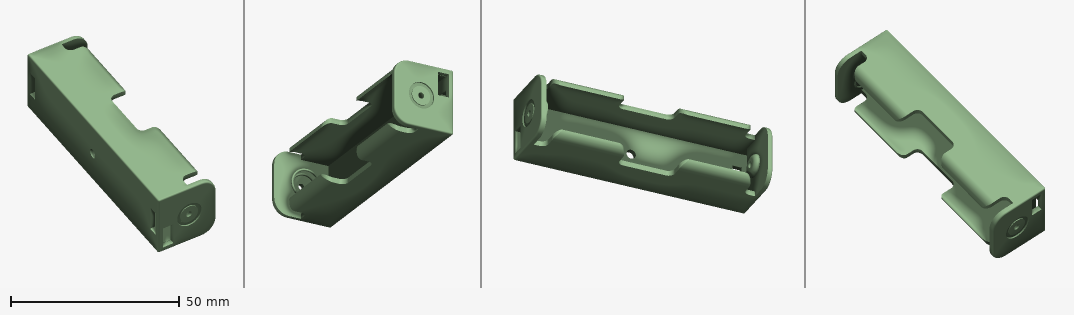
import cadquery as cq
import math

LENGTH = 75.9
DEPTH = 20.0
HEIGHT = 21.0
WALL = 1.7
CORNER_RADIUS = 5.0
EDGE_RADIUS = 0.5
MID_X = LENGTH / 2
MID_Z = HEIGHT / 2

SHOULDER_Y = 11.0
LIP_OUTER_RADIUS = 2.95
LIP_INNER_RADIUS = 4.0
LIP_CENTER_Y = DEPTH - CORNER_RADIUS
TAB_TIP_Y = LIP_CENTER_Y + LIP_OUTER_RADIUS
TAB_WIDTH = 23.4
TAB_OFFSET = 5.55
TAB_TIP_RADIUS = 2.5
TAB_ROOT_RADIUS = 2.0

MOUNT_HOLE_DIAMETER = 3.0
BACK_WINDOW_WIDTH = 3.0
BACK_WINDOW_HEIGHT = 8.5
END_WINDOW_WIDTH = 3.7
END_WINDOW_HEIGHT = 7.6
END_WINDOW_Y = 1.6
END_WINDOW_MARGIN = 1.6

AXIS_Y = 10.85
RECESS_DIAMETER = 8.5
RECESS_DEPTH = 0.5
RIVET_HEAD_DIAMETER = 6.15
RIVET_HEAD_THICKNESS = 0.295
RIVET_SHANK_DIAMETER = 4.0
RIVET_BORE_DIAMETER = 2.0

BUTTON_HEIGHT = 1.6
BUTTON_FACE_RADIUS = RIVET_SHANK_DIAMETER / 2

WIRE_DIAMETER = 0.7
WALL_CLEARANCE = 0.015
COIL_PITCH = 2.35
FLAT_TURNS = 0.4
SPIRAL_TURNS = 0.7
TOTAL_TURNS = 1.75
BASE_COIL_RADIUS = 2.6
COIL_RADIUS = 4.3
POINTS_PER_TURN = 16


def block(x0, x1, y0, y1, z0, z1):
    return cq.Workplane("XY").box(x1 - x0, y1 - y0, z1 - z0, centered=False).translate((x0, y0, z0))


def axis_cylinder(diameter, x0, x1):
    """Cylinder along the battery axis between two X positions."""
    return (
        cq.Workplane("YZ", origin=(x0, AXIS_Y, MID_Z))
        .circle(diameter / 2)
        .extrude(x1 - x0)
    )


def rounded_tray(x0, x1, inset, open_y, radius):
    """Box between two X positions whose two long edges at the open side are rounded."""
    tray = block(x0, x1, inset, open_y, inset, HEIGHT - inset)
    return tray.edges("|X and >Y").fillet(radius)


def make_shell():
    """Open tray with full end walls and lower side walls whose lips curl inwards."""
    shell = rounded_tray(0, LENGTH, 0, DEPTH, CORNER_RADIUS)
    shell = shell.faces("<X or >X or <Y").edges().fillet(EDGE_RADIUS)
    inner_end = LENGTH - WALL
    mouth = block(WALL, inner_end, SHOULDER_Y, DEPTH, 0, HEIGHT)
    lips = rounded_tray(WALL, inner_end, 0, TAB_TIP_Y, LIP_OUTER_RADIUS).intersect(mouth)
    cavity_y = LIP_CENTER_Y + LIP_INNER_RADIUS
    cavity = rounded_tray(WALL, inner_end, WALL, cavity_y, LIP_INNER_RADIUS)
    return shell.cut(mouth).union(lips).cut(cavity)


def make_tab(x0):
    """Full-height prism over one tab, with rounded tips and flared roots."""
    x1 = x0 + TAB_WIDTH
    tip = TAB_TIP_RADIUS
    root = TAB_ROOT_RADIUS
    return (
        cq.Workplane("XY")
        .moveTo(x0 - root, SHOULDER_Y)
        .radiusArc((x0, SHOULDER_Y + root), -root)
        .lineTo(x0, TAB_TIP_Y - tip)
        .radiusArc((x0 + tip, TAB_TIP_Y), tip)
        .lineTo(x1 - tip, TAB_TIP_Y)
        .radiusArc((x1, TAB_TIP_Y - tip), tip)
        .lineTo(x1, SHOULDER_Y + root)
        .radiusArc((x1 + root, SHOULDER_Y), -root)
        .close()
        .extrude(HEIGHT)
    )


def make_notches():
    notches = block(WALL, LENGTH - WALL, SHOULDER_Y, DEPTH, 0, HEIGHT)
    for x0 in (TAB_OFFSET, LENGTH - TAB_OFFSET - TAB_WIDTH):
        notches = notches.cut(make_tab(x0))
    return notches


def make_mount_hole():
    return cq.Workplane("XZ", origin=(MID_X, 0, MID_Z)).circle(MOUNT_HOLE_DIAMETER / 2).extrude(-WALL)


def make_back_window(x0):
    z0 = MID_Z - BACK_WINDOW_HEIGHT / 2
    return block(x0, x0 + BACK_WINDOW_WIDTH, 0, WALL, z0, z0 + BACK_WINDOW_HEIGHT)


def make_end_window(x0, z0):
    y1 = END_WINDOW_Y + END_WINDOW_WIDTH
    return block(x0, x0 + WALL, END_WINDOW_Y, y1, z0, z0 + END_WINDOW_HEIGHT)


def make_housing():
    high_window_z = HEIGHT - END_WINDOW_MARGIN - END_WINDOW_HEIGHT
    openings = [
        make_notches(),
        make_mount_hole(),
        make_back_window(WALL),
        make_back_window(LENGTH - WALL - BACK_WINDOW_WIDTH),
        make_end_window(0, high_window_z),
        make_end_window(LENGTH - WALL, END_WINDOW_MARGIN),
        axis_cylinder(RECESS_DIAMETER, 0, RECESS_DEPTH),
        axis_cylinder(RECESS_DIAMETER, LENGTH - RECESS_DEPTH, LENGTH),
        axis_cylinder(RIVET_SHANK_DIAMETER, 0, LENGTH),
    ]
    housing = make_shell()
    for opening in openings:
        housing = housing.cut(opening)
    return housing


def make_rivet():
    """Left-wall rivet before boring: outer head in the recess and shank through the wall."""
    head = axis_cylinder(RIVET_HEAD_DIAMETER, RECESS_DEPTH - RIVET_HEAD_THICKNESS, RECESS_DEPTH)
    return head.union(axis_cylinder(RIVET_SHANK_DIAMETER, RECESS_DEPTH, WALL))


def make_bore():
    return axis_cylinder(RIVET_BORE_DIAMETER, 0, LENGTH)


def make_button_rivet():
    """Left rivet, whose inner end is a button with a quarter-round rim."""
    button = (
        cq.Workplane("XY", origin=(WALL, AXIS_Y, MID_Z))
        .lineTo(0, BUTTON_FACE_RADIUS + BUTTON_HEIGHT)
        .radiusArc((BUTTON_HEIGHT, BUTTON_FACE_RADIUS), BUTTON_HEIGHT)
        .lineTo(BUTTON_HEIGHT, 0)
        .close()
        .revolve(360, (0, 0, 0), (1, 0, 0))
    )
    return make_rivet().union(button).cut(make_bore())


def make_spring_rivet():
    """Right rivet, flush with the inner face of the wall."""
    return make_rivet().cut(make_bore()).mirror("YZ", (MID_X, 0, 0))


def coil_point(turn):
    """Wire centre after a number of turns, counted from the lowest point on the wall."""
    angle = 2 * math.pi * turn - math.pi / 2
    spiral = min(turn / SPIRAL_TURNS, 1)
    radius = BASE_COIL_RADIUS + (COIL_RADIUS - BASE_COIL_RADIUS) * spiral
    rise = COIL_PITCH * max(turn - FLAT_TURNS, 0)
    x = LENGTH - WALL - WALL_CLEARANCE - WIRE_DIAMETER / 2 - rise
    return (x, AXIS_Y + radius * math.cos(angle), MID_Z + radius * math.sin(angle))


def make_spring():
    count = math.ceil(TOTAL_TURNS * POINTS_PER_TURN)
    centres = [coil_point(TOTAL_TURNS * i / count) for i in range(count + 1)]
    path = cq.Workplane("XY").spline(centres)
    wire = path.val()
    section = cq.Workplane(cq.Plane(wire.startPoint(), normal=wire.tangentAt(0)))
    return section.circle(WIRE_DIAMETER / 2).sweep(path)


housing = make_housing()
button_rivet = make_button_rivet()
spring_rivet = make_spring_rivet()
spring = make_spring()

result = cq.Compound.makeCompound(
    [housing.val(), button_rivet.val(), spring_rivet.val(), spring.val()]
)